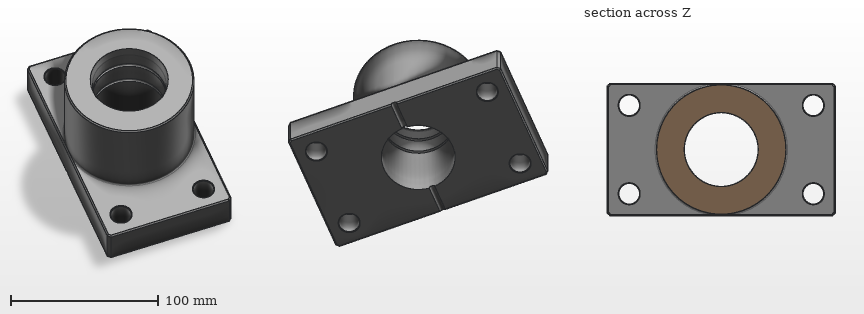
import cadquery as cq

plate_length = 155.0
plate_width = 90.0
plate_height = 25.0
corner_chamfer = 2.0
edge_chamfer = 1.0

hole_diameter = 14.0
hole_chamfer = 0.5
hole_inset = 15.0

total_height = 85.0
boss_plate_gap = 0.001
boss_radius = plate_width / 2 - edge_chamfer - boss_plate_gap
boss_chamfer = 1.0
foot_fillet = 1.0

bore_radius = 25.0
mouth_radius = 26.5
mouth_depth = 5.0
groove_radius = 1.5
groove_depths = (16.5, 33.5)

channel_radius = 2.0


def make_plate():
    """Rectangular plate with chamfered corners and edges."""
    plate = cq.Workplane("XY").box(
        plate_length, plate_width, plate_height, centered=(True, True, False)
    )
    plate = plate.edges("|Z").chamfer(corner_chamfer)
    return plate.faces("<Z or >Z").edges().chamfer(edge_chamfer)


def make_boss():
    """Cylinder that starts at the plate underside, chamfered at its top rim."""
    boss = cq.Workplane("XY").circle(boss_radius).extrude(total_height)
    return boss.faces(">Z").edges().chamfer(boss_chamfer)


def join_boss_to_plate(plate, boss):
    """Stand the boss on the plate and round the foot where it meets the plate's top face."""
    body = plate.union(boss)
    foot_zone = cq.selectors.BoxSelector(
        (-boss_radius, -boss_radius, plate_height - boss_plate_gap),
        (boss_radius, boss_radius, plate_height + boss_plate_gap),
    )
    return body.edges("%CIRCLE").edges(foot_zone).fillet(foot_fillet)


def make_bore():
    """Through bore with its tapered mouth and ring grooves."""
    bore = (
        cq.Workplane("XZ")
        .lineTo(bore_radius, 0)
        .lineTo(bore_radius, total_height - mouth_depth)
        .lineTo(mouth_radius, total_height)
        .lineTo(0, total_height)
        .close()
        .revolve(360, (0, 0, 0), (0, 1, 0))
    )
    for depth in groove_depths:
        ring = cq.Solid.makeTorus(
            bore_radius, groove_radius, cq.Vector(0, 0, total_height - depth)
        )
        bore = bore.union(cq.Workplane(obj=ring))
    return bore


def make_mounting_holes():
    """Four through holes, chamfered at both ends."""
    radius = hole_diameter / 2
    rim_radius = radius + hole_chamfer
    profile = (
        cq.Workplane("XZ")
        .lineTo(rim_radius, 0)
        .lineTo(radius, hole_chamfer)
        .lineTo(radius, plate_height - hole_chamfer)
        .lineTo(rim_radius, plate_height)
        .lineTo(0, plate_height)
        .close()
    )
    hole = profile.revolve(360, (0, 0, 0), (0, 1, 0)).val()
    return (
        cq.Workplane("XY")
        .rect(plate_length - 2 * hole_inset, plate_width - 2 * hole_inset, forConstruction=True)
        .vertices()
        .eachpoint(lambda place: hole.moved(place), combine=False)
    )


def make_channel():
    """Cylinder along Y, centred on the underside."""
    return cq.Workplane("XZ").circle(channel_radius).extrude(plate_width / 2, both=True)


result = join_boss_to_plate(make_plate(), make_boss())
result = result.cut(make_bore()).cut(make_mounting_holes()).cut(make_channel())